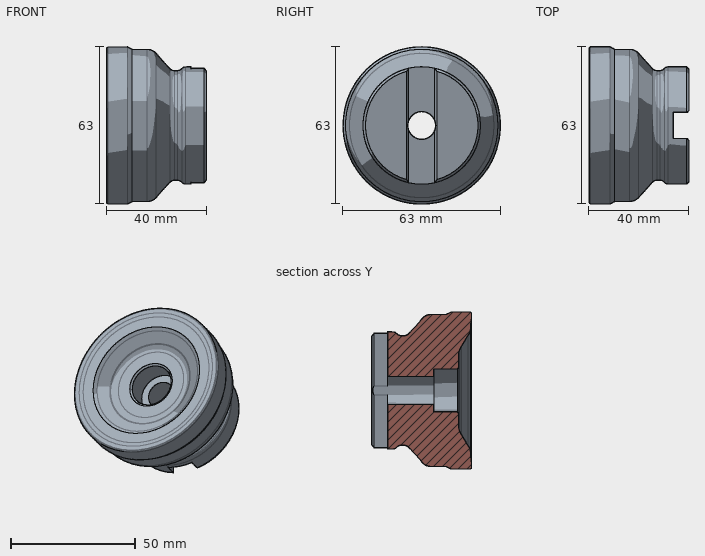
import cadquery as cq
import math

length = 40.0
flange_radius = 31.5
body_radius = 30.5
neck_radius = 22.0
hub_radius = 23.5

flange_chamfer = 0.5
flange_end = 8.3
flange_edge_round = 0.25
step_end = 10.2
shoulder_start = 16.2
shoulder_round = 4.8
neck_round = 2.4
shoulder_angle = math.radians(48)
neck_flat = 1.2
hub_round = 2.0
hub_chamfer = 1.0

face_ring_radius = 29.2
seat_outer_radius = 27.5
seat_outer_depth = 0.25
dish_radius = 23.3
dish_depth = 0.55
dish_kink_radius = 22.0
dish_kink_depth = 1.5
dish_wall_end_radius = 17.6
dish_wall_end_depth = 4.15
dish_blend_radius = 17.3
dish_blend_depth = 4.3
dish_floor_radius = 14.3
dish_floor_depth = 5.15

bore_radius = 8.5
bore_chamfer = 0.8
bore_chamfer_depth = 0.6
bore_end = 15.1
through_hole_radius = 5.51
slot_width = 10.4
slot_depth = 6.35
slot_mouth_chamfer = 0.8


def arc_points(start, start_angle, end_angle, radius):
    """Middle and end of an arc whose heading turns between two angles."""
    turn = math.copysign(radius, end_angle - start_angle)

    def at(angle):
        x = start[0] + turn * (math.sin(angle) - math.sin(start_angle))
        r = start[1] - turn * (math.cos(angle) - math.cos(start_angle))
        return (x, r)

    return at((start_angle + end_angle) / 2), at(end_angle)


def make_blank():
    """Solid of revolution with a flange, a sloped shoulder, a neck and a hub."""
    shoulder_from = (shoulder_start, body_radius)
    shoulder_mid, slope_from = arc_points(shoulder_from, 0, -shoulder_angle, shoulder_round)

    neck_arc_drop = neck_round * (1 - math.cos(shoulder_angle))
    slope_drop = slope_from[1] - neck_radius - neck_arc_drop
    slope_to = (slope_from[0] + slope_drop / math.tan(shoulder_angle), slope_from[1] - slope_drop)
    neck_in_mid, neck_from = arc_points(slope_to, -shoulder_angle, 0, neck_round)

    neck_to = (neck_from[0] + neck_flat, neck_radius)
    hub_rise_angle = math.acos(1 - (hub_radius - neck_radius) / (neck_round + hub_round))
    neck_out_mid, hub_rise = arc_points(neck_to, 0, hub_rise_angle, neck_round)
    hub_mid, hub_from = arc_points(hub_rise, hub_rise_angle, 0, hub_round)

    return (
        cq.Workplane("XY")
        .moveTo(0, 0)
        .lineTo(0, flange_radius - flange_chamfer)
        .lineTo(flange_chamfer, flange_radius)
        .lineTo(flange_end, flange_radius)
        .lineTo(step_end, body_radius)
        .lineTo(*shoulder_from)
        .threePointArc(shoulder_mid, slope_from)
        .lineTo(*slope_to)
        .threePointArc(neck_in_mid, neck_from)
        .lineTo(*neck_to)
        .threePointArc(neck_out_mid, hub_rise)
        .threePointArc(hub_mid, hub_from)
        .lineTo(length - hub_chamfer, hub_radius)
        .lineTo(length, hub_radius - hub_chamfer)
        .lineTo(length, 0)
        .close()
        .revolve(360, (0, 0, 0), (1, 0, 0))
    )


def round_flange(blank):
    """Soften the chamfer edges at the front and the back edge of the flange."""
    flange_box = cq.selectors.BoxSelector(
        (-0.6, -2 * flange_radius, -2 * flange_radius),
        ((flange_end + step_end) / 2, 2 * flange_radius, 2 * flange_radius),
    )
    return blank.edges("%CIRCLE").edges(flange_box).fillet(flange_edge_round)


def make_cavity():
    """Dished face, chamfered bore and through hole as one turned cutter."""
    floor_from = (dish_floor_depth, dish_floor_radius)
    blend_height = dish_floor_depth - dish_blend_depth
    blend_width = dish_blend_radius - dish_floor_radius
    blend_round = (blend_height**2 + blend_width**2) / (2 * blend_height)
    half_angle = math.atan(blend_height / blend_width)
    blend_mid = (
        dish_floor_depth - blend_round * (1 - math.cos(half_angle)),
        dish_floor_radius + blend_round * math.sin(half_angle),
    )
    return (
        cq.Workplane("XY")
        .moveTo(0, 0)
        .lineTo(0, face_ring_radius)
        .lineTo(seat_outer_depth, seat_outer_radius)
        .lineTo(dish_depth, dish_radius)
        .lineTo(dish_kink_depth, dish_kink_radius)
        .lineTo(dish_wall_end_depth, dish_wall_end_radius)
        .lineTo(dish_blend_depth, dish_blend_radius)
        .threePointArc(blend_mid, floor_from)
        .lineTo(dish_floor_depth, bore_radius + bore_chamfer)
        .lineTo(dish_floor_depth + bore_chamfer_depth, bore_radius)
        .lineTo(bore_end, bore_radius)
        .lineTo(bore_end, through_hole_radius)
        .lineTo(length, through_hole_radius)
        .lineTo(length, 0)
        .close()
        .revolve(360, (0, 0, 0), (1, 0, 0))
    )


def make_slot():
    """Driving slot across the hub end, running along Z, with a chamfered mouth."""
    half_width = slot_width / 2
    mouth_half_width = half_width + slot_mouth_chamfer
    slot_outline = [
        (length - slot_depth, -half_width),
        (length - slot_mouth_chamfer, -half_width),
        (length, -mouth_half_width),
        (length, mouth_half_width),
        (length - slot_mouth_chamfer, half_width),
        (length - slot_depth, half_width),
    ]
    return cq.Workplane("XY").polyline(slot_outline).close().extrude(flange_radius, both=True)


result = round_flange(make_blank()).cut(make_cavity()).cut(make_slot())